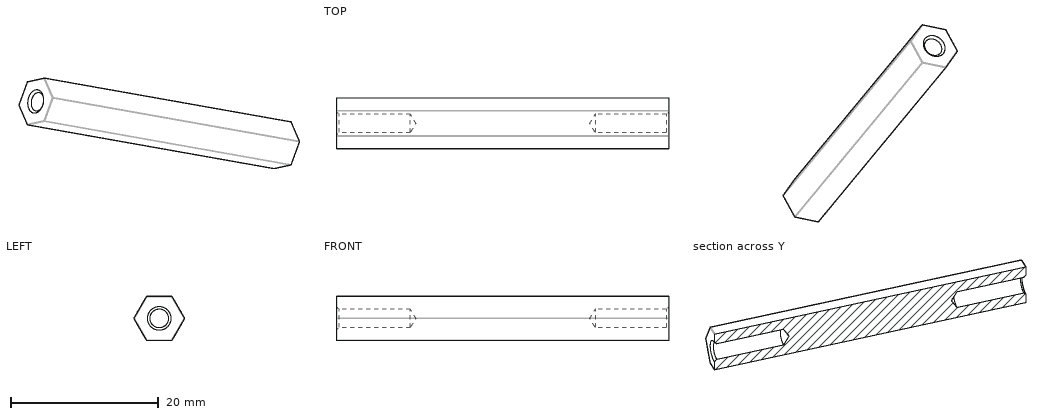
import cadquery as cq
import math

length = 45.0
across_flats = 6.0
edge_radius = 0.1
hole_diameter = 2.5
hole_depth = 10.0
drill_point_angle = 118.0
mouth_diameter = 3.2

across_corners = across_flats / math.cos(math.radians(30))
hole_radius = hole_diameter / 2
mouth_radius = mouth_diameter / 2
countersink_depth = mouth_radius - hole_radius
point_depth = hole_radius / math.tan(math.radians(drill_point_angle / 2))


def hex_bar():
    """Hexagonal bar centred on the origin, flats up and down, all edges rounded."""
    return (
        cq.Workplane("YZ")
        .polygon(6, across_corners)
        .extrude(length / 2, both=True)
        .edges()
        .fillet(edge_radius)
    )


def left_hole():
    """Countersunk drilled hole entering from the -X end, revolved about X."""
    face_x = -length / 2
    bottom_x = face_x + hole_depth
    return (
        cq.Workplane("XY")
        .moveTo(face_x, 0)
        .lineTo(face_x, mouth_radius)
        .lineTo(face_x + countersink_depth, hole_radius)
        .lineTo(bottom_x, hole_radius)
        .lineTo(bottom_x + point_depth, 0)
        .close()
        .revolve(360, (0, 0, 0), (1, 0, 0))
    )


hole = left_hole()
result = hex_bar().cut(hole).cut(hole.mirror("YZ"))